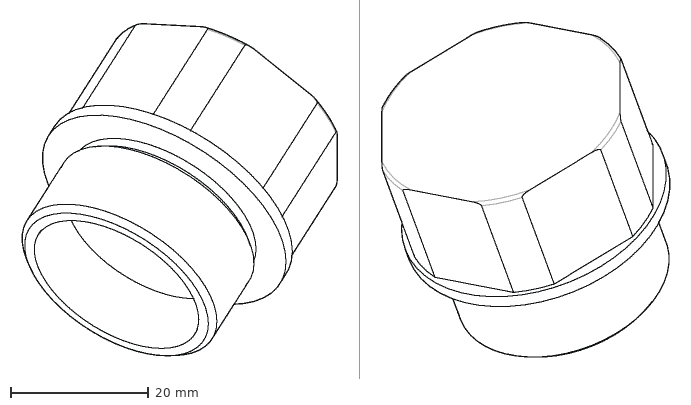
import cadquery as cq

thread_length = 13.5
neck_length = 1.5
flange_thickness = 2.0
hex_length = 18.0
bore_depth = 10.0

flange_diameter = 40.0
thread_diameter = 32.0
neck_diameter = 30.15
bore_diameter = 27.0
hex_across_flats = 36.0
hex_corner_diameter = 38.5

thread_chamfer = (thread_diameter - neck_diameter) / 2
hex_corner_rounding = 0.5

neck_start = thread_length
flange_start = neck_start + neck_length
hex_start = flange_start + flange_thickness

def revolve_about_y(profile):
    """Revolve a closed list of (radius, y) points around the Y axis."""
    return cq.Workplane("XY").polyline(profile).close().revolve(360, (0, 0), (0, 1))

def make_spigot():
    """Threaded spigot, chamfered at both ends, with its relief neck and flange."""
    thread_radius = thread_diameter / 2
    neck_radius = neck_diameter / 2
    flange_radius = flange_diameter / 2
    return revolve_about_y([
        (0, 0),
        (thread_radius - thread_chamfer, 0),
        (thread_radius, thread_chamfer),
        (thread_radius, neck_start - thread_chamfer),
        (neck_radius, neck_start),
        (neck_radius, flange_start),
        (flange_radius, flange_start),
        (flange_radius, hex_start),
        (0, hex_start),
    ])

def make_hexagon():
    """Hexagon with flats facing +X and -X, its corners turned round and their far ends rounded."""
    prism = (
        cq.Workplane("XZ", origin=(0, hex_start, 0))
        .polygon(6, hex_across_flats, circumscribed=True)
        .extrude(-hex_length)
    )
    corner_radius = hex_corner_diameter / 2
    turned_blank = (
        cq.Workplane("XZ", origin=(0, hex_start, 0))
        .circle(corner_radius)
        .extrude(-hex_length)
        .edges(">Y")
        .fillet(hex_corner_rounding)
    )
    return prism.intersect(turned_blank)

def make_bore():
    """Blind round bore entering from the spigot end."""
    return cq.Workplane("XZ").circle(bore_diameter / 2).extrude(-bore_depth)

result = make_spigot().union(make_hexagon()).cut(make_bore())